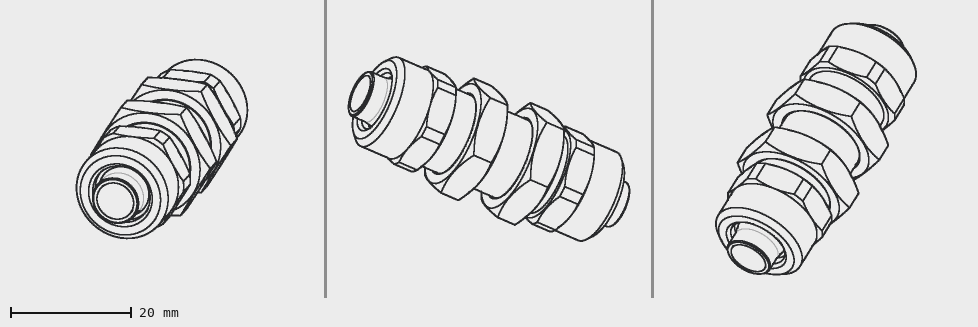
import cadquery as cq
import math

overall_length = 50.0
spigot_radius = 4.0
bore_radius = 3.2
tip_chamfer = 0.2
barrel_radius = 7.0

cap_radius = 8.0
cap_length = 11.0
cap_chamfer = 1.0
back_cap_face = 22.05
front_cap_face = 22.25
wrench_length = 4.5
wrench_corner_radius = 8.75
wrench_face_radius = 7.85

recess_radius = 5.0
recess_depth = 1.9
recess_chamfer = 0.55
root_radius = 4.35

nut_flats = 18.0
nut_thickness = 5.1
nut_face_radius = 8.9
nut_countersink = 0.25
nut_centres = (6.55, -4.45)

bevel_slope = math.tan(math.radians(30))


def along_y(profile):
    """Revolve a closed profile of (radius, y) points around the Y axis."""
    return cq.Workplane("XY").polyline(profile).close().revolve(360, (0, 0, 0), (0, 1, 0))


def hex_prism(flats, start, length):
    """Hexagonal prism along Y with flats on top and bottom and corners on +X and -X."""
    corner_diameter = flats / math.cos(math.radians(30))
    prism = cq.Workplane("XZ").polygon(6, corner_diameter).extrude(-length)
    return prism.translate((0, start, 0))


def capped_end(face):
    """Capped end and spigot, pointing along +Y, with the cap's outer face at y = face."""
    inner_face = face - cap_length
    wrench_end = inner_face + wrench_length
    inner_bevel = (wrench_corner_radius - wrench_face_radius) * bevel_slope
    outer_bevel = (wrench_corner_radius - cap_radius) * bevel_slope
    wrench = along_y([
        (0, inner_face),
        (wrench_face_radius, inner_face),
        (wrench_corner_radius, inner_face + inner_bevel),
        (wrench_corner_radius, wrench_end - outer_bevel),
        (cap_radius, wrench_end),
        (0, wrench_end),
    ]).intersect(hex_prism(2 * cap_radius, inner_face, wrench_length))

    floor = face - recess_depth
    tip = overall_length / 2
    sleeve = along_y([
        (0, wrench_end),
        (cap_radius, wrench_end),
        (cap_radius, face - cap_chamfer),
        (cap_radius - cap_chamfer, face),
        (recess_radius + recess_chamfer, face),
        (recess_radius, face - recess_chamfer),
        (recess_radius, floor),
        (root_radius, floor),
        (spigot_radius, face),
        (spigot_radius, tip - tip_chamfer),
        (spigot_radius - tip_chamfer, tip),
        (0, tip),
    ])
    return wrench.union(sleeve)


def fitting_body():
    """Barrel with a capped end on each side and a bore right through."""
    barrel_length = back_cap_face + front_cap_face - 2 * cap_length
    barrel = (
        cq.Workplane("XZ", origin=(0, cap_length - front_cap_face, 0))
        .circle(barrel_radius)
        .extrude(-barrel_length)
    )
    front_end = capped_end(front_cap_face).mirror("XZ")
    bore = cq.Workplane("XZ").circle(bore_radius).extrude(overall_length, both=True)
    return barrel.union(capped_end(back_cap_face)).union(front_end).cut(bore)


def lock_nut(centre):
    """Hexagonal nut around the barrel, bevelled outside and countersunk on both faces."""
    half = nut_thickness / 2
    corner_radius = nut_flats / math.sqrt(3)
    bevel = (corner_radius - nut_face_radius) * bevel_slope
    ring = along_y([
        (barrel_radius, -half + nut_countersink),
        (barrel_radius + nut_countersink, -half),
        (nut_face_radius, -half),
        (corner_radius, -half + bevel),
        (corner_radius, half - bevel),
        (nut_face_radius, half),
        (barrel_radius + nut_countersink, half),
        (barrel_radius, half - nut_countersink),
    ])
    return ring.intersect(hex_prism(nut_flats, -half, nut_thickness)).translate((0, centre, 0))


body = fitting_body()
lock_nuts = [lock_nut(centre) for centre in nut_centres]

result = cq.Compound.makeCompound([body.val(), *[nut.val() for nut in lock_nuts]])